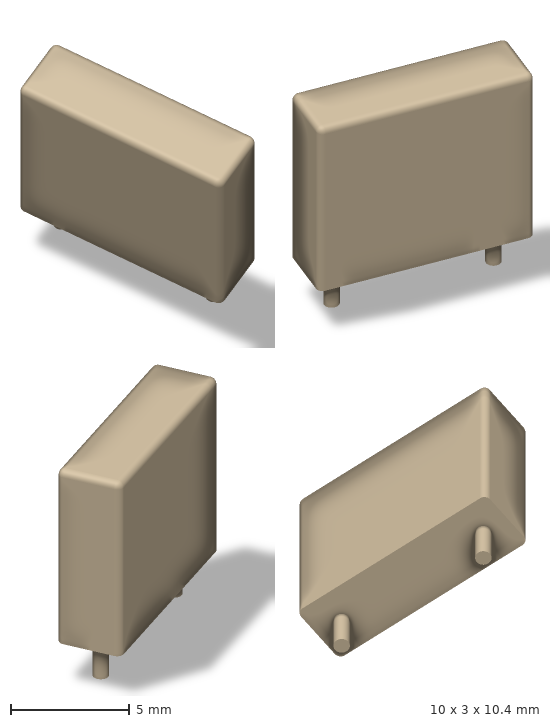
import cadquery as cq

body_length = 10.0
body_width = 3.0
total_height = 10.4

pin_length = 1.9
pin_diameter = 0.7
pin_pitch = 7.5

edge_radius = 0.3
body_height = total_height - pin_length


def make_body():
    """Box standing on Z = 0, rounded on every edge except around its base."""
    box = cq.Workplane("XY").box(body_length, body_width, body_height, centered=(True, True, False))
    return box.edges("|Z or >Z").fillet(edge_radius)


def make_pins():
    """Pins hanging from the base, spaced along X on the centre line."""
    return (
        cq.Workplane("XY")
        .pushPoints([(-pin_pitch / 2, 0), (pin_pitch / 2, 0)])
        .circle(pin_diameter / 2)
        .extrude(-pin_length)
    )


result = make_body().union(make_pins())